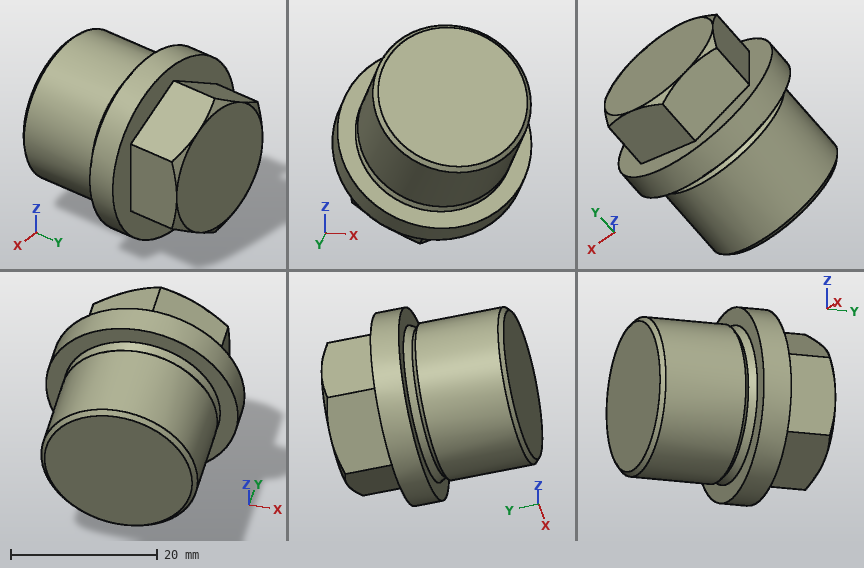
import cadquery as cq
import math

flange_diameter = 27.0
flange_thickness = 4.0
hex_across_flats = 19.0
hex_height = 8.0
shank_diameter = 22.0
shank_length = 14.0

end_chamfer = 0.62
neck_length = 1.08
neck_depth = 0.62
hex_chamfer_angle = 30.0

flange_radius = flange_diameter / 2
shank_radius = shank_diameter / 2
neck_radius = shank_radius - neck_depth
hex_corner_radius = hex_across_flats / 2 / math.cos(math.pi / 6)


def revolve_about_y(points):
    """Revolve a closed (radius, y) outline about the plug axis."""
    return cq.Workplane("XY").polyline(points).close().revolve(360, (0, 0, 0), (0, 1, 0))


def make_turned_body():
    """Flange and shank, with the tapered neck below the flange; flange underside at y = 0."""
    return revolve_about_y([
        (0, flange_thickness),
        (flange_radius, flange_thickness),
        (flange_radius, 0),
        (shank_radius, 0),
        (neck_radius, -neck_length),
        (shank_radius, -neck_length - neck_depth),
        (shank_radius, end_chamfer - shank_length),
        (shank_radius - end_chamfer, -shank_length),
        (0, -shank_length),
    ])


def make_hex_head():
    """Hexagon with flats facing +/-X, its corners trimmed by a cone at the free end."""
    head_end = flange_thickness + hex_height
    flat_radius = hex_across_flats / 2
    chamfer_drop = (hex_corner_radius - flat_radius) * math.tan(math.radians(hex_chamfer_angle))
    prism = (
        cq.Workplane("XZ", origin=(0, head_end, 0))
        .transformed(rotate=(0, 0, 90))
        .polygon(6, 2 * hex_corner_radius)
        .extrude(hex_height)
    )
    envelope = revolve_about_y([
        (0, 0),
        (flange_radius, 0),
        (flange_radius, head_end - chamfer_drop),
        (hex_corner_radius, head_end - chamfer_drop),
        (flat_radius, head_end),
        (0, head_end),
    ])
    return prism.intersect(envelope)


result = make_turned_body().union(make_hex_head())